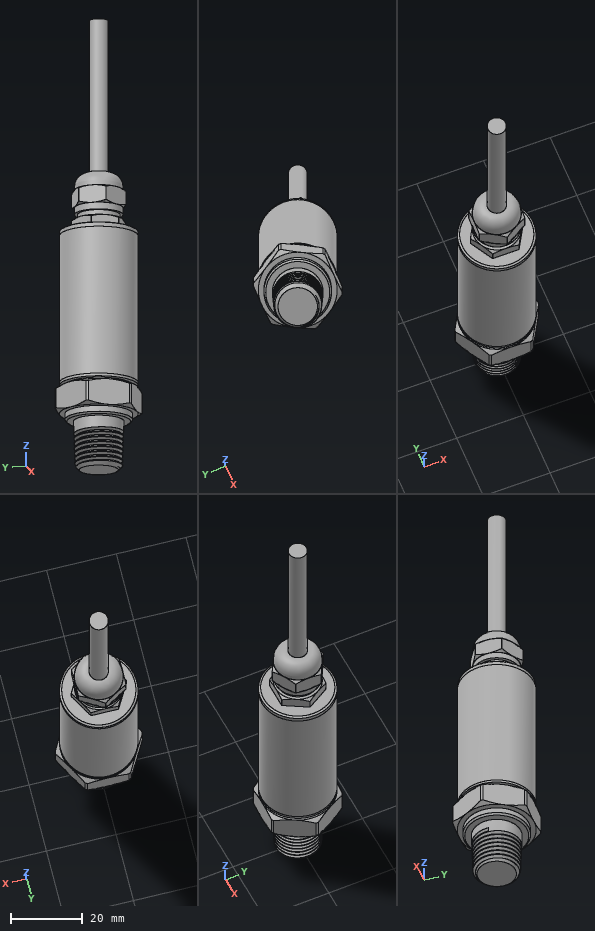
import cadquery as cq
import math

TOTAL_HEIGHT = 129.2
COLLAR_BOTTOM = 14.0
MAIN_HEX_BOTTOM = 16.2
MAIN_HEX_TOP = 23.5
FLANGE_BOTTOM = 24.3
HOUSING_BOTTOM = 25.1
HOUSING_TOP = 67.3
LID_TOP = 68.7
GLAND_HEX_TOP = 71.8
CAP_BOTTOM = 73.4
CAP_HEX_BOTTOM = 75.3
CAP_HEX_TOP = 80.4
DOME_BOTTOM = 81.7
CAP_TOP = 85.1

MAIN_HEX_FLATS = 22.0
MAIN_HEX_CORNERS = 25.0
COLLAR_DIAMETER = 18.9
COLLAR_CHAMFER = 0.5

SHANK_END_DIAMETER = 13.3
SHANK_CHAMFER = 1.2
THREAD_TAPER = 1 / 16
THREAD_PITCH = 1.4
THREAD_DEPTH = 0.8
THREAD_GROOVE_WIDTH = 1.2
THREAD_CLEARANCE = 0.6
THREAD_TOP = 10.7
THREAD_TURNS = 9

HOUSING_DIAMETER = MAIN_HEX_FLATS
LID_CHAMFER_HEIGHT = 0.3
LID_CHAMFER_INSET = 0.6

GLAND_HEX_FLATS = 13.7
GLAND_HEX_CORNERS = 15.8
GLAND_NECK_DIAMETER = 11.9
CAP_DIAMETER = 13.6
CABLE_DIAMETER = 5.4

HEX_CHAMFER_ANGLE = 30.0
HEX_TURN = 30.0


def cylinder(diameter, bottom, top):
    return cq.Workplane("XY", origin=(0, 0, bottom)).circle(diameter / 2).extrude(top - bottom)


def hexagon(flats, corners, bottom, top, turn=0.0, chamfered_ends=(">Z", "<Z")):
    """Hexagonal prism with its corners turned round and the chosen ends chamfered to a cone."""
    prism = (
        cq.Workplane("XY", origin=(0, 0, bottom))
        .polygon(6, flats / math.cos(math.pi / 6))
        .extrude(top - bottom)
        .rotate((0, 0, 0), (0, 0, 1), turn)
    )
    inset = (corners - flats) / 2
    drop = inset * math.tan(math.radians(HEX_CHAMFER_ANGLE))
    envelope = cylinder(corners, bottom, top)
    for end in chamfered_ends:
        envelope = envelope.faces(end).chamfer(drop, inset)
    return prism.intersect(envelope)


def shank_radius(height):
    return (SHANK_END_DIAMETER + THREAD_TAPER * height) / 2


def tapered_shank():
    """Revolved shank whose seam lies at -X, opposite the start of the thread groove."""
    return (
        cq.Workplane("XZ")
        .moveTo(0, 0)
        .lineTo(SHANK_CHAMFER - shank_radius(0), 0)
        .lineTo(-shank_radius(SHANK_CHAMFER), SHANK_CHAMFER)
        .lineTo(-shank_radius(COLLAR_BOTTOM), COLLAR_BOTTOM)
        .lineTo(0, COLLAR_BOTTOM)
        .close()
        .revolve(360, (0, 0, 0), (0, 1, 0))
    )


def thread_groove():
    """V-shaped right-handed cutter that follows the taper and starts below the end face."""
    length = THREAD_TURNS * THREAD_PITCH
    start = THREAD_TOP - length
    radius = shank_radius(start)
    taper_angle = math.degrees(math.atan(THREAD_TAPER / 2))
    helix = cq.Wire.makeHelix(
        THREAD_PITCH, length, radius, center=cq.Vector(0, 0, start), angle=taper_angle
    )
    half_width = THREAD_GROOVE_WIDTH / 2
    return (
        cq.Workplane("XZ")
        .moveTo(radius - THREAD_DEPTH, start)
        .lineTo(radius, start + half_width)
        .lineTo(radius + THREAD_CLEARANCE, start + half_width)
        .lineTo(radius + THREAD_CLEARANCE, start - half_width)
        .lineTo(radius, start - half_width)
        .close()
        .sweep(cq.Workplane(helix), isFrenet=True)
    )


def make_fitting():
    shank = tapered_shank().cut(thread_groove())
    collar = cylinder(COLLAR_DIAMETER, COLLAR_BOTTOM, FLANGE_BOTTOM).faces("<Z").chamfer(COLLAR_CHAMFER)
    main_hex = hexagon(MAIN_HEX_FLATS, MAIN_HEX_CORNERS, MAIN_HEX_BOTTOM, MAIN_HEX_TOP)
    flange = cylinder(HOUSING_DIAMETER, FLANGE_BOTTOM, HOUSING_BOTTOM)
    return collar.union(main_hex).union(flange).union(shank)


def make_housing():
    return cylinder(HOUSING_DIAMETER, HOUSING_BOTTOM, HOUSING_TOP)


def make_gland():
    """Lid of the housing with the cable gland on it; the cap hexagon is turned against the lower one."""
    lid = cylinder(HOUSING_DIAMETER, HOUSING_TOP, LID_TOP)
    lid = lid.faces(">Z").chamfer(LID_CHAMFER_HEIGHT, LID_CHAMFER_INSET)
    gland_hex = hexagon(GLAND_HEX_FLATS, GLAND_HEX_CORNERS, LID_TOP, GLAND_HEX_TOP, chamfered_ends=(">Z",))
    neck = cylinder(GLAND_NECK_DIAMETER, GLAND_HEX_TOP, CAP_BOTTOM)
    cap = cylinder(CAP_DIAMETER, CAP_BOTTOM, CAP_TOP).faces(">Z").edges().fillet(CAP_TOP - DOME_BOTTOM)
    cap_hex = hexagon(GLAND_HEX_FLATS, GLAND_HEX_CORNERS, CAP_HEX_BOTTOM, CAP_HEX_TOP, turn=HEX_TURN)
    return lid.union(gland_hex).union(neck).union(cap).union(cap_hex)


def make_cable():
    return cylinder(CABLE_DIAMETER, CAP_TOP, TOTAL_HEIGHT)


fitting = make_fitting()
housing = make_housing()
gland = make_gland()
cable = make_cable()

result = cq.Compound.makeCompound(
    [fitting.solids().val(), housing.val(), gland.solids().val(), cable.val()]
)